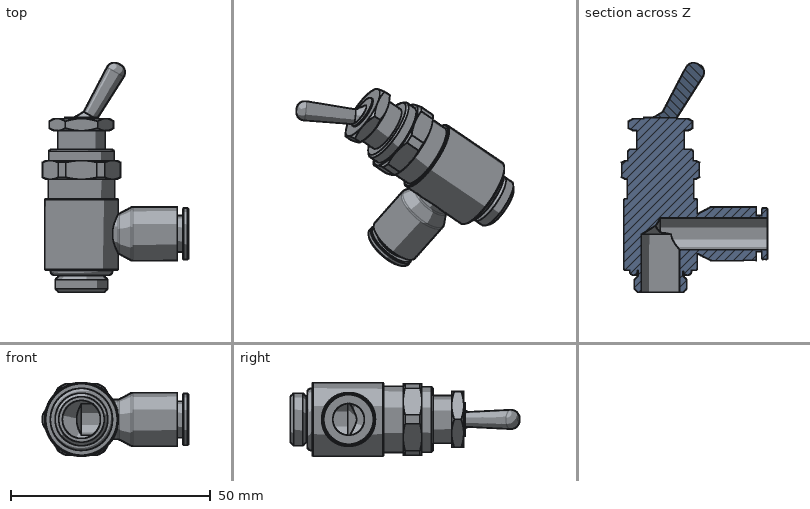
import cadquery as cq
import math


stud_radius = 6.6
stud_length = 5.5
stud_chamfer = 0.9
undercut_radius = stud_radius - stud_chamfer
undercut_length = 1.4
seal_tube_radius = 1.05
seal_ring_radius = 6.75
seal_center_y = -0.2

sleeve_radius = 9.25
sleeve_top = 18.0
sleeve_chamfer = 0.3
collar_radius = 8.35
body_hex_bottom = 22.85
body_hex_height = 4.65
body_hex_flats = 18.0
body_hex_corner_radius = 9.8
shoulder_radius = 8.25
shoulder_chamfer = 0.5
shoulder_top = 30.35
panel_thread_radius = 6.0
panel_nut_bottom = 35.0
panel_nut_height = 3.0
panel_nut_flats = 14.0
rim_radius = 4.2
rim_height = 0.33
hex_chamfer_angle = 30.0
hex_flats_to_corners = 1 / math.cos(math.pi / 6)

panel_nut_top = panel_nut_bottom + panel_nut_height
rim_top = panel_nut_top + rim_height

branch_y = 9.15
branch_end = 26.85
branch_neck_radius = 5.0
branch_radius = 6.75
branch_cone_start = 9.3
branch_cone_end = 12.6
branch_body_end = 24.05
branch_blend_radius = 1.0
release_neck_radius = 4.6
release_flange_start = 25.35
release_flange_radius = 6.5
release_flange_chamfer = 0.3

inlet_radius = 4.77
branch_bore_radius = 3.95
drill_point_half_angle = 59.0
inlet_depth = 14.5

lever_tilt = 30.0
lever_pivot_y = panel_nut_bottom
lever_neck_distance = 4.4
lever_neck_radius = 1.9
lever_flare_half_angle = 30.0
lever_length = 19.2
lever_end_radius = 2.55
lever_tip_rounding = 2.1


def ring_section(points):
    """Solid turned about the Y axis from (radius, y) points."""
    return cq.Workplane("XY").polyline(points).close().revolve(360, (0, 0), (0, 1))


def chamfered_hex(flats, bottom, height, corner_radius):
    """Hexagon along Y with flats facing +Z and -Z, and its corners turned down at both ends."""
    inner = flats / 2
    top = bottom + height
    drop = (corner_radius - inner) * math.tan(math.radians(hex_chamfer_angle))
    prism = (
        cq.Workplane("XZ", origin=(0, bottom, 0))
        .polygon(6, flats * hex_flats_to_corners)
        .extrude(-height)
    )
    envelope = ring_section([
        (0, bottom),
        (inner, bottom),
        (corner_radius, bottom + drop),
        (corner_radius, top - drop),
        (inner, top),
        (0, top),
    ])
    return prism.intersect(envelope)


def turned_body():
    """Stud, sleeve, collar, shoulder, panel thread and end rim in one turned profile."""
    return ring_section([
        (0, -stud_length),
        (stud_radius - stud_chamfer, -stud_length),
        (stud_radius, -stud_length + stud_chamfer),
        (stud_radius, -undercut_length - stud_chamfer),
        (undercut_radius, -undercut_length),
        (undercut_radius, 0),
        (sleeve_radius - sleeve_chamfer, 0),
        (sleeve_radius, sleeve_chamfer),
        (sleeve_radius, sleeve_top - sleeve_chamfer),
        (sleeve_radius - sleeve_chamfer, sleeve_top),
        (collar_radius, sleeve_top),
        (collar_radius, body_hex_bottom),
        (shoulder_radius, body_hex_bottom),
        (shoulder_radius, shoulder_top - shoulder_chamfer),
        (shoulder_radius - shoulder_chamfer, shoulder_top),
        (panel_thread_radius, shoulder_top),
        (panel_thread_radius, panel_nut_top),
        (rim_radius, panel_nut_top),
        (rim_radius, rim_top),
        (0, rim_top),
    ])


def face_seal():
    """Round seal seated between the sleeve face and the stud undercut."""
    return (
        cq.Workplane("XY")
        .center(seal_ring_radius, seal_center_y)
        .circle(seal_tube_radius)
        .revolve(360, (-seal_ring_radius, 0), (-seal_ring_radius, 1))
    )


def branch():
    """Branch body with its blended cone and the flanged release collar at its end."""
    body = (
        cq.Workplane("XY", origin=(0, branch_y, 0))
        .moveTo(0, 0)
        .lineTo(0, branch_neck_radius)
        .lineTo(branch_cone_start, branch_neck_radius)
        .lineTo(branch_cone_end, branch_radius)
        .lineTo(branch_body_end, branch_radius)
        .lineTo(branch_body_end, 0)
        .close()
        .revolve(360, (0, 0), (1, 0))
    )
    body = body.edges("%CIRCLE").edges("not(<X or >X)").fillet(branch_blend_radius)
    neck = (
        cq.Workplane("YZ", origin=(branch_body_end, branch_y, 0))
        .circle(release_neck_radius)
        .extrude(release_flange_start - branch_body_end)
    )
    flange = (
        cq.Workplane("YZ", origin=(release_flange_start, branch_y, 0))
        .circle(release_flange_radius)
        .extrude(branch_end - release_flange_start)
        .edges()
        .chamfer(release_flange_chamfer)
    )
    return body.union(neck).union(flange)


def drilled_hole(radius, depth):
    """Drill-shaped solid along +X from the origin, with a conical point beyond its depth."""
    point_length = radius / math.tan(math.radians(drill_point_half_angle))
    return (
        cq.Workplane("XY")
        .polyline([(0, 0), (0, radius), (depth, radius), (depth + point_length, 0)])
        .close()
        .revolve(360, (0, 0), (1, 0))
    )


def make_valve():
    """Valve body with its branch, hexes and seal, drilled from the stud and from the branch."""
    valve = turned_body()
    valve = valve.union(branch())
    body_hex = chamfered_hex(body_hex_flats, body_hex_bottom, body_hex_height, body_hex_corner_radius)
    nut_corner_radius = panel_nut_flats * hex_flats_to_corners / 2
    panel_nut = chamfered_hex(panel_nut_flats, panel_nut_bottom, panel_nut_height, nut_corner_radius)
    valve = valve.union(body_hex).union(panel_nut)
    valve = valve.union(face_seal())
    inlet = drilled_hole(inlet_radius, inlet_depth).rotate((0, 0, 0), (0, 0, 1), 90)
    valve = valve.cut(inlet.translate((0, -stud_length, 0)))
    outlet = drilled_hole(branch_bore_radius, branch_end).rotate((0, 0, 0), (0, 0, 1), 180)
    return valve.cut(outlet.translate((branch_end, branch_y, 0)))


def make_lever():
    """Round-tipped tapered lever with a flared root, standing on the end rim of the valve."""
    flare_radius = lever_neck_radius + lever_neck_distance * math.tan(math.radians(lever_flare_half_angle))
    lever = (
        cq.Workplane("XY")
        .lineTo(flare_radius, 0)
        .lineTo(lever_neck_radius, lever_neck_distance)
        .lineTo(lever_end_radius, lever_length)
        .lineTo(0, lever_length)
        .close()
        .revolve(360, (0, 0), (0, 1))
        .edges(">Y")
        .fillet(lever_tip_rounding)
        .rotate((0, 0, 0), (0, 0, 1), -lever_tilt)
        .translate((0, lever_pivot_y, 0))
    )
    cutter_size = 4 * flare_radius
    below_rim = (
        cq.Workplane("XY")
        .box(cutter_size, cutter_size, cutter_size)
        .translate((0, rim_top - cutter_size / 2, 0))
    )
    return lever.cut(below_rim)


valve = make_valve()
lever = make_lever()

result = cq.Compound.makeCompound([valve.solids().val(), lever.solids().val()])